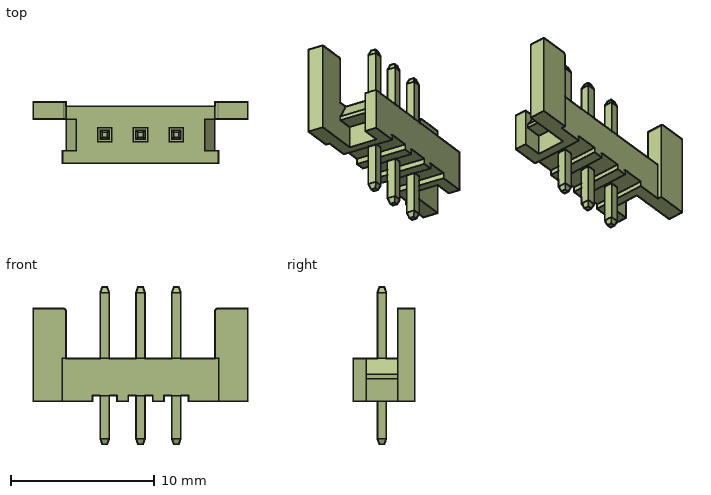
import cadquery as cq


pin_count = 3
pin_pitch = 2.5
pin_width = 0.64
pin_top = 8.0
pin_bottom = -3.0
pin_tip_length = 0.4
pin_tip_width = 0.35
pin_recess_width = 1.0
pin_recess_depth = 0.5

body_height = 3.0
body_front = -2.0
body_back = 2.0
front_wall_width = 10.9
front_wall_thickness = 0.9
back_wall_width = 10.4
core_width = 8.0
relief_width = 1.7
relief_depth = 0.4

ramp_top_width = 9.0
latch_bottom = 1.6
latch_edge_top = 1.9

overall_width = 15.0
arm_height = 6.5
arm_thickness = 1.2
arm_back = 2.3
arm_edge_radius = 0.2

arm_front = arm_back - arm_thickness
front_wall_back = body_front + front_wall_thickness
pin_positions = [(i - (pin_count - 1) / 2) * pin_pitch for i in range(pin_count)]


def block(width, y_min, y_max, z_min, z_max, x_center=0.0):
    """Box centred on x_center that spans the given Y and Z ranges."""
    return (
        cq.Workplane("XY", origin=(x_center, (y_min + y_max) / 2, z_min))
        .rect(width, y_max - y_min)
        .extrude(z_max - z_min)
    )


def latched_core():
    """Core between the walls, with an undercut latch and a lead-in ramp at each end."""
    right_half = [
        (core_width / 2, 0),
        (core_width / 2, latch_bottom),
        (back_wall_width / 2, latch_bottom),
        (back_wall_width / 2, latch_edge_top),
        (ramp_top_width / 2, body_height),
    ]
    left_half = [(-x, z) for x, z in reversed(right_half)]
    return (
        cq.Workplane("XZ", origin=(0, arm_front, 0))
        .polyline(right_half + left_half)
        .close()
        .extrude(arm_front - front_wall_back)
    )


def make_arm(side):
    """Upright arm at one end (side is -1 or +1), rounded along its inner top edge."""
    width = (overall_width - back_wall_width) / 2
    x_center = side * (overall_width - width) / 2
    arm = block(width, arm_front, arm_back, 0, arm_height, x_center)
    inner_edge = ">X" if side < 0 else "<X"
    return arm.faces(">Z").edges(inner_edge).fillet(arm_edge_radius)


def pin_tip(x, z_base, direction):
    """Square pin end that tapers away from z_base, up (+1) or down (-1)."""
    return (
        cq.Workplane("XY", origin=(x, 0, z_base))
        .rect(pin_width, pin_width)
        .workplane(offset=direction * pin_tip_length)
        .rect(pin_tip_width, pin_tip_width)
        .loft(combine=True)
    )


def make_pin(x):
    """Straight square pin with a tapered tip at both ends."""
    shank_top = pin_top - pin_tip_length
    shank_bottom = pin_bottom + pin_tip_length
    shank = block(pin_width, -pin_width / 2, pin_width / 2, shank_bottom, shank_top, x)
    return shank.union(pin_tip(x, shank_top, 1)).union(pin_tip(x, shank_bottom, -1))


def make_housing():
    """Front wall, back wall, latched core and arms, relieved around every pin."""
    front_wall = block(front_wall_width, body_front, front_wall_back, 0, body_height)
    back_wall = block(back_wall_width, arm_front, body_back, 0, body_height)
    housing = front_wall.union(back_wall).union(latched_core())
    for side in (-1, 1):
        housing = housing.union(make_arm(side))
    half_recess = pin_recess_width / 2
    recess_floor = body_height - pin_recess_depth
    for x in pin_positions:
        relief = block(relief_width, body_front, body_back, 0, relief_depth, x)
        recess = block(pin_recess_width, -half_recess, half_recess, recess_floor, body_height, x)
        housing = housing.cut(relief).cut(recess)
    return housing


result = make_housing()
for pin_x in pin_positions:
    result = result.union(make_pin(pin_x))